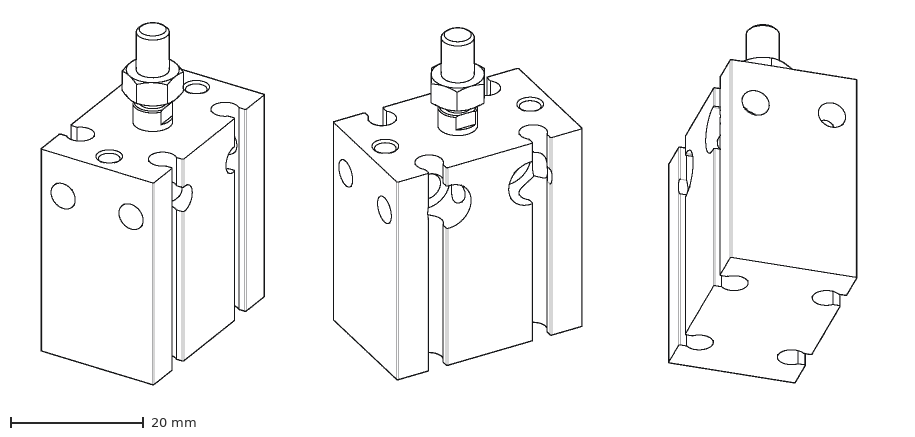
import cadquery as cq
import math

TOTAL_HEIGHT = 51.0
HOUSING_X = 20.0
HOUSING_Y = 32.0
HOUSING_Z = 35.0
EDGE_RADIUS = 0.2

GROOVE_Y = 9.0
GROOVE_X = 7.3
GROOVE_DIAMETER = 4.3
GROOVE_MOUTH = 3.05

MOUNT_HOLE_DIAMETER = 4.3
MOUNT_HOLE_Z = HOUSING_Z - 7.0
X_HOLE_Y = 7.0
Y_HOLE_X = 6.0
COUNTERBORE_DIAMETER = 7.5
COUNTERBORE_DEPTH = 6.65

TOP_HOLE_Y = 12.5
TOP_HOLE_DIAMETER = 3.25
TOP_HOLE_MOUTH_DIAMETER = 4.05
TOP_HOLE_DEPTH = 6.1

ROD_DIAMETER = 6.0
ROD_LENGTH = 3.4
ROD_CHAMFER = 0.2
FLAT_WIDTH = 5.0
FLAT_START = 1.0
NECK_DIAMETER = 4.15
NECK_LENGTH = 1.6
NUT_WIDTH = 8.0
NUT_HEIGHT = 4.05
NUT_SIDES = 6
NUT_CHAMFER_ANGLE = 30.0
STUD_DIAMETER = 5.0
STUD_CHAMFER = 0.45

SIDES = (-1, 1)


def cylinder_between(start, direction, length, diameter):
    """Cylinder of the given length from a start point along a direction."""
    return cq.Workplane(
        cq.Solid.makeCylinder(diameter / 2, length, cq.Vector(*start), cq.Vector(*direction))
    )


def groove(x_side, y_side):
    """Keyhole groove: a round channel opening sideways through a narrower mouth."""
    channel = (
        cq.Workplane("XY")
        .center(x_side * GROOVE_X, y_side * GROOVE_Y)
        .circle(GROOVE_DIAMETER / 2)
        .extrude(HOUSING_Z)
    )
    mouth_length = HOUSING_X / 2 - GROOVE_X
    mouth = (
        cq.Workplane("XY")
        .center(x_side * (GROOVE_X + mouth_length / 2), y_side * GROOVE_Y)
        .rect(mouth_length, GROOVE_MOUTH)
        .extrude(HOUSING_Z)
    )
    return channel.union(mouth)


def counterbored_hole(y_side):
    """Through hole along X, counterbored from the -X side."""
    start = (-HOUSING_X / 2, y_side * X_HOLE_Y, MOUNT_HOLE_Z)
    hole = cylinder_between(start, (1, 0, 0), HOUSING_X, MOUNT_HOLE_DIAMETER)
    counterbore = cylinder_between(start, (1, 0, 0), COUNTERBORE_DEPTH, COUNTERBORE_DIAMETER)
    return hole.union(counterbore)


def cross_hole(x_side):
    """Plain through hole along Y."""
    start = (x_side * Y_HOLE_X, -HOUSING_Y / 2, MOUNT_HOLE_Z)
    return cylinder_between(start, (0, 1, 0), HOUSING_Y, MOUNT_HOLE_DIAMETER)


def top_hole(y_side):
    """Blind hole in the top face with a 45 degree chamfer at its mouth."""
    radius = TOP_HOLE_DIAMETER / 2
    mouth_radius = TOP_HOLE_MOUTH_DIAMETER / 2
    bottom_z = HOUSING_Z - TOP_HOLE_DEPTH
    chamfer_z = HOUSING_Z - (mouth_radius - radius)
    profile = [
        (0, bottom_z),
        (radius, bottom_z),
        (radius, chamfer_z),
        (mouth_radius, HOUSING_Z),
        (0, HOUSING_Z),
    ]
    hole = cq.Workplane("XZ").polyline(profile).close().revolve(360, (0, 0), (0, 1))
    return hole.translate((0, y_side * TOP_HOLE_Y, 0))


def make_housing():
    """Block with side grooves, rounded vertical edges, mounting holes and top holes."""
    body = cq.Workplane("XY").rect(HOUSING_X, HOUSING_Y).extrude(HOUSING_Z)
    for side in SIDES:
        body = body.cut(groove(-1, side)).cut(groove(1, side))
    for x_face in ("<X", ">X"):
        body = body.faces(x_face).edges("|Z").fillet(EDGE_RADIUS)
    for side in SIDES:
        body = body.cut(counterbored_hole(side))
        body = body.cut(cross_hole(side))
        body = body.cut(top_hole(side))
    return body


def rod_shoulder():
    """Round rod end with a chamfered top edge and two wrench flats facing -X and +X."""
    shoulder = (
        cq.Workplane("XY")
        .workplane(offset=HOUSING_Z)
        .circle(ROD_DIAMETER / 2)
        .extrude(ROD_LENGTH)
        .faces(">Z")
        .edges()
        .chamfer(ROD_CHAMFER)
    )
    base = (
        cq.Workplane("XY")
        .workplane(offset=HOUSING_Z)
        .circle(ROD_DIAMETER / 2)
        .extrude(FLAT_START)
    )
    between_flats = (
        cq.Workplane("XY")
        .workplane(offset=HOUSING_Z)
        .rect(FLAT_WIDTH, ROD_DIAMETER)
        .extrude(ROD_LENGTH)
    )
    return shoulder.intersect(between_flats).union(base)


def nut(bottom_z):
    """Hexagon with flats facing -X and +X, its corners turned conical at both ends."""
    half_side_angle = 180 / NUT_SIDES
    corner_diameter = NUT_WIDTH / math.cos(math.radians(half_side_angle))
    hexagon = (
        cq.Workplane("XY")
        .polygon(NUT_SIDES, corner_diameter)
        .extrude(NUT_HEIGHT)
        .rotate((0, 0, 0), (0, 0, 1), half_side_angle)
    )
    corner_overhang = (corner_diameter - NUT_WIDTH) / 2
    chamfer_height = corner_overhang * math.tan(math.radians(NUT_CHAMFER_ANGLE))
    envelope = (
        cq.Workplane("XY")
        .circle(corner_diameter / 2)
        .extrude(NUT_HEIGHT)
        .faces("<Z or >Z")
        .edges()
        .chamfer(chamfer_height, corner_overhang)
    )
    return hexagon.intersect(envelope).translate((0, 0, bottom_z))


def make_rod():
    """Rod end standing on the housing: shoulder, neck, hexagon nut and threaded stud."""
    neck_z = HOUSING_Z + ROD_LENGTH
    nut_z = neck_z + NECK_LENGTH
    stud_z = nut_z + NUT_HEIGHT
    neck = cylinder_between((0, 0, neck_z), (0, 0, 1), NECK_LENGTH, NECK_DIAMETER)
    stud = cylinder_between((0, 0, stud_z), (0, 0, 1), TOTAL_HEIGHT - stud_z, STUD_DIAMETER)
    stud = stud.faces(">Z").edges().chamfer(STUD_CHAMFER)
    return rod_shoulder().union(neck).union(nut(nut_z)).union(stud)


housing = make_housing()
rod = make_rod()

result = cq.Compound.makeCompound([housing.val(), rod.val()])